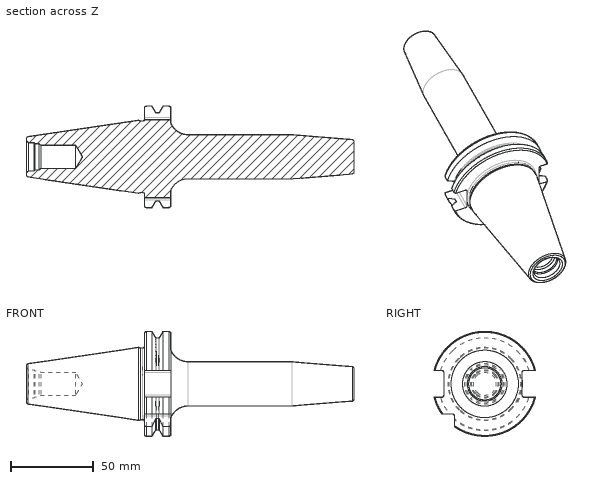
import cadquery as cq
import math

total_length = 198.2
gauge_x = 67.8
flange_start = 71.4
flange_end = 87.5
shank_start = 97.7
nose_start = 160.5

taper_small_radius = 12.3
taper_large_radius = 22.2
neck_radius = 21.8
neck_fillet = 1.0
flange_radius = 31.82
shank_radius = 13.5
nose_radius = 10.5
shoulder_radius = 20.5
end_chamfer = 0.8
taper_chamfer_depth = 0.8
neck_step_end = 69.0

rim_chamfer_width = 1.2
rim_chamfer_depth = 0.5
groove_center = 79.3
groove_floor_radius = 28.0
groove_floor_half = 1.1
groove_floor_fillet = 0.8
groove_flank_angle = 30.0

slot_width = 16.0
front_slot_floor = 24.8
back_slot_floor = 22.6
slot_fillet = 1.2
notch_y = 18.5
notch_z = 18.2
notch_fillet = 1.2

socket_mouth_radius = 9.7
counterbore_radius = 8.5
thread_major_radius = 8.0
thread_minor_radius = 7.0
counterbore_depth = 4.5
thread_relief_end = 7.7
socket_depth = 29.7
drill_point_angle = 118.0


def revolve_about_x(profile):
    return profile.close().revolve(360, (0, 0, 0), (1, 0, 0))


def shoulder_arc_middle():
    """Point halfway along the shoulder arc, which is tangent to the shank."""
    run = shank_start - flange_end
    rise = shoulder_radius - shank_radius
    arc_radius = (run**2 + rise**2) / (2 * rise)
    half_angle = math.asin(run / arc_radius) / 2
    return (
        shank_start - arc_radius * math.sin(half_angle),
        shank_radius + arc_radius * (1 - math.cos(half_angle)),
    )


def make_body():
    chamfer_radius = flange_radius - rim_chamfer_depth
    neck_fillet_inset = neck_fillet * (1 - math.sqrt(0.5))
    profile = (
        cq.Workplane("XY")
        .lineTo(0, taper_small_radius - taper_chamfer_depth)
        .lineTo(end_chamfer, taper_small_radius)
        .lineTo(gauge_x, taper_large_radius)
        .lineTo(neck_step_end, neck_radius)
        .lineTo(flange_start - neck_fillet, neck_radius)
        .threePointArc(
            (flange_start - neck_fillet_inset, neck_radius + neck_fillet_inset),
            (flange_start, neck_radius + neck_fillet),
        )
        .lineTo(flange_start, chamfer_radius)
        .lineTo(flange_start + rim_chamfer_width, flange_radius)
        .lineTo(flange_end - rim_chamfer_width, flange_radius)
        .lineTo(flange_end, chamfer_radius)
        .lineTo(flange_end, shoulder_radius)
        .threePointArc(shoulder_arc_middle(), (shank_start, shank_radius))
        .lineTo(nose_start, shank_radius)
        .lineTo(total_length - end_chamfer, nose_radius)
        .lineTo(total_length, nose_radius - end_chamfer)
        .lineTo(total_length, 0)
    )
    return revolve_about_x(profile)


def make_groove():
    """V groove whose flanks meet the flat floor in tangent arcs."""
    flank = math.radians(groove_flank_angle)
    rim_half = groove_floor_half + (flange_radius - groove_floor_radius) * math.tan(flank)

    turn = math.pi / 2 - flank
    tangent_length = groove_floor_fillet * math.tan(turn / 2)
    flat_half = groove_floor_half - tangent_length
    arc_middle_half = flat_half + groove_floor_fillet * math.sin(turn / 2)
    arc_middle_radius = groove_floor_radius + groove_floor_fillet * (1 - math.cos(turn / 2))
    arc_end_half = groove_floor_half + tangent_length * math.sin(flank)
    arc_end_radius = groove_floor_radius + tangent_length * math.cos(flank)

    profile = (
        cq.Workplane("XY")
        .moveTo(groove_center - rim_half, flange_radius)
        .lineTo(groove_center - arc_end_half, arc_end_radius)
        .threePointArc(
            (groove_center - arc_middle_half, arc_middle_radius),
            (groove_center - flat_half, groove_floor_radius),
        )
        .lineTo(groove_center + flat_half, groove_floor_radius)
        .threePointArc(
            (groove_center + arc_middle_half, arc_middle_radius),
            (groove_center + arc_end_half, arc_end_radius),
        )
        .lineTo(groove_center + rim_half, flange_radius)
    )
    return revolve_about_x(profile)


def make_slot(side, floor):
    """Drive slot open toward side * Y, with rounded floor corners."""
    length = flange_end - flange_start
    depth = flange_radius
    return (
        cq.Workplane("XY")
        .box(length, depth, slot_width)
        .faces("<Y" if side > 0 else ">Y")
        .edges("|X")
        .fillet(slot_fillet)
        .translate((flange_start + length / 2, side * (floor + depth / 2), 0))
    )


def make_notch():
    """Corner cut from the flange rim toward -Y and -Z."""
    length = flange_end - flange_start
    size = flange_radius
    return (
        cq.Workplane("XY")
        .box(length, size, size)
        .edges("|X and >Y and >Z")
        .fillet(notch_fillet)
        .translate((flange_start + length / 2, -notch_y - size / 2, -notch_z - size / 2))
    )


def make_socket():
    mouth_chamfer = socket_mouth_radius - counterbore_radius
    step_chamfer = counterbore_radius - thread_major_radius
    thread_chamfer = thread_major_radius - thread_minor_radius
    point_length = thread_minor_radius / math.tan(math.radians(drill_point_angle / 2))
    profile = cq.Workplane("XY").polyline([
        (0, 0),
        (0, socket_mouth_radius),
        (mouth_chamfer, counterbore_radius),
        (counterbore_depth, counterbore_radius),
        (counterbore_depth + step_chamfer, thread_major_radius),
        (thread_relief_end, thread_major_radius),
        (thread_relief_end + thread_chamfer, thread_minor_radius),
        (socket_depth, thread_minor_radius),
        (socket_depth + point_length, 0),
    ])
    return revolve_about_x(profile)


result = (
    make_body()
    .cut(make_groove())
    .cut(make_slot(-1, front_slot_floor))
    .cut(make_slot(1, back_slot_floor))
    .cut(make_notch())
    .cut(make_socket())
)